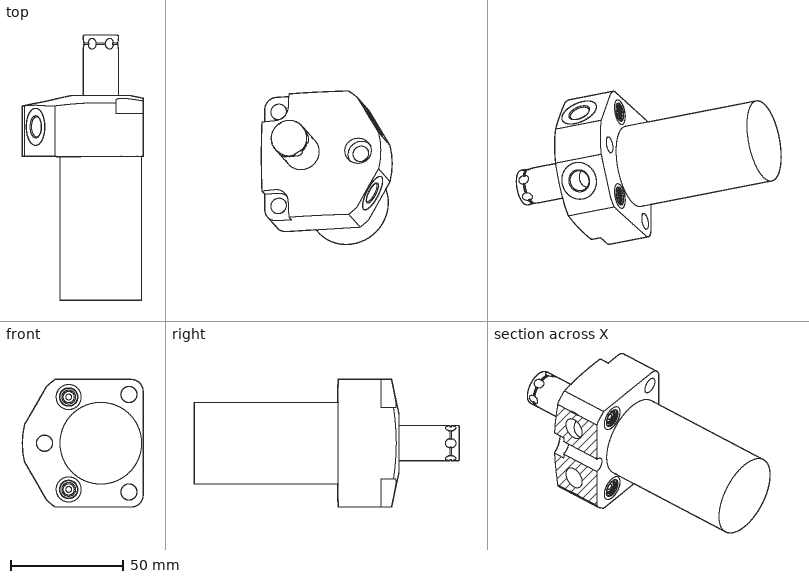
import cadquery as cq
import math

total_length = 118.2
barrel_radius = 18.2
barrel_length = 64.2
rod_radius = 7.9
rod_end_y = total_length - barrel_length
rod_end_round = 0.7

dimple_count = 6
dimple_radius = 2.4
dimple_y = 50.1
groove_width = 0.7
groove_depth = 0.4

flange_radius = 35.0
flange_right = 18.9
flange_half_height = 28.5
corner_round = 5.4
port_tilt = 30.0
port_flat_half_angle = 16.2

flange_height = 27.2
flange_rim_height = 22.5
crown_flat_radius = 12.8

bolt_circle_radius = 25.0
bolt_angles = (60.0, 180.0, 300.0)
bolt_hole_radius = 3.5
head_recess_radius = 5.8
head_recess_floor = 19.1

port_y = 13.1
port_radius = 4.5
port_depth = 11.7
port_chamfer = 0.5
port_seat_radius = 8.3
port_seat_depth = 0.1

seal_x = -14.3
seal_z = 20.6
seal_outer_radius = 5.8
seal_cord_radius = 1.0
seal_projection = 0.4
seal_steps = ((3.9, 0.6), (3.1, 1.0), (2.5, 1.4), (1.3, 2.8))


def radial(angle, radius=1.0, y=0.0):
    """Point at a polar angle around the Y axis, measured from +X towards +Z."""
    turn = math.radians(angle)
    return cq.Vector(radius * math.cos(turn), y, radius * math.sin(turn))


def rod_along_y(x, z, radius, y_start, y_end):
    """Cylinder parallel to the Y axis."""
    return cq.Workplane(cq.Solid.makeCylinder(
        radius, y_end - y_start, cq.Vector(x, y_start, z), cq.Vector(0, 1, 0)))


def rim_point(angle):
    """Point on the round rim of the flange outline, as (X, Z)."""
    point = radial(angle, flange_radius)
    return (point.x, point.z)


def flange():
    """Plate with a round rim, two port flats and a conical back."""
    top_angle = 180 - math.degrees(math.asin(flange_half_height / flange_radius))
    flat_start = 180 - port_tilt - port_flat_half_angle
    flat_end = 180 - port_tilt + port_flat_half_angle
    plate = (
        cq.Workplane("XZ")
        .moveTo(flange_right, -flange_half_height)
        .lineTo(flange_right, flange_half_height)
        .lineTo(*rim_point(top_angle))
        .threePointArc(rim_point((top_angle + flat_start) / 2), rim_point(flat_start))
        .lineTo(*rim_point(flat_end))
        .threePointArc(rim_point(180), rim_point(-flat_end))
        .lineTo(*rim_point(-flat_start))
        .threePointArc(rim_point(-(top_angle + flat_start) / 2), rim_point(-top_angle))
        .close()
        .extrude(-flange_height)
        .edges("|Y and >X")
        .fillet(corner_round)
    )
    cone_slope = (flange_height - flange_rim_height) / (flange_radius - crown_flat_radius)
    cone_base_radius = crown_flat_radius + flange_height / cone_slope
    crown = (
        cq.Workplane("XY")
        .polyline([(0, 0), (cone_base_radius, 0), (crown_flat_radius, flange_height), (0, flange_height)])
        .close()
        .revolve(360, (0, 0, 0), (0, 1, 0))
    )
    return plate.intersect(crown)


def rod():
    """Piston rod with a rounded end, a narrow groove and a ring of 90 degree dimples."""
    body = rod_along_y(0, 0, rod_radius, 0, rod_end_y).faces(">Y").edges().fillet(rod_end_round)
    groove_start = dimple_y - groove_width / 2
    groove_end = dimple_y + groove_width / 2
    groove = rod_along_y(0, 0, rod_radius + groove_depth, groove_start, groove_end).cut(
        rod_along_y(0, 0, rod_radius - groove_depth, groove_start, groove_end))
    body = body.cut(groove)
    cone_size = 2 * dimple_radius
    cone_base = rod_radius - dimple_radius + cone_size
    for index in range(dimple_count):
        angle = index * 360 / dimple_count
        dimple = cq.Solid.makeCone(
            cone_size, 0, cone_size, radial(angle, cone_base, dimple_y), radial(angle) * -1)
        body = body.cut(cq.Workplane(dimple))
    return body


def corner_recess(x, z):
    """Screw head recess that runs out through the right side and the nearer long side."""
    size = 2 * flange_half_height
    side = math.copysign(1, z)
    return (
        cq.Workplane("XY")
        .box(size, flange_height, size)
        .edges("|Y")
        .fillet(head_recess_radius)
        .translate((
            x - head_recess_radius + size / 2,
            head_recess_floor + flange_height / 2,
            z + side * (size / 2 - head_recess_radius)))
    )


def bolt_cut(angle):
    """Through hole and screw head recess of one mounting hole."""
    center = radial(angle, bolt_circle_radius)
    hole = rod_along_y(center.x, center.z, bolt_hole_radius, 0, flange_height)
    if center.x > 0:
        return hole.union(corner_recess(center.x, center.z))
    return hole.union(
        rod_along_y(center.x, center.z, head_recess_radius, head_recess_floor, flange_height))


def port_cut(angle):
    """Blind port with a chamfered mouth and a shallow seat, square to its flat."""
    flat_distance = flange_radius * math.cos(math.radians(port_flat_half_angle))
    mouth = radial(angle, flat_distance, port_y)
    seat_center = radial(angle, flat_distance - port_seat_depth, port_y)
    inward = radial(angle) * -1
    bore = cq.Solid.makeCylinder(port_radius, port_depth, mouth, inward)
    seat = cq.Solid.makeCylinder(port_seat_radius, port_seat_depth, mouth, inward)
    chamfer = cq.Solid.makeCone(
        port_radius + port_chamfer, port_radius, port_chamfer, seat_center, inward)
    return cq.Workplane(bore).union(cq.Workplane(seat)).union(cq.Workplane(chamfer))


def seal_ring(z):
    """O-ring that stands slightly proud of the front face."""
    center = cq.Vector(seal_x, seal_cord_radius - seal_projection, z)
    return cq.Workplane(cq.Solid.makeTorus(
        seal_outer_radius - seal_cord_radius, seal_cord_radius, center, cq.Vector(0, 1, 0)))


body = flange()
for bolt_angle in bolt_angles:
    body = body.cut(bolt_cut(bolt_angle))
for port_angle in (180 - port_tilt, 180 + port_tilt):
    body = body.cut(port_cut(port_angle))
for z in (seal_z, -seal_z):
    body = body.union(seal_ring(z))
    for step_radius, step_depth in seal_steps:
        body = body.cut(rod_along_y(seal_x, z, step_radius, 0, step_depth))

barrel = rod_along_y(0, 0, barrel_radius, -barrel_length, 0)
result = body.union(rod()).union(barrel)